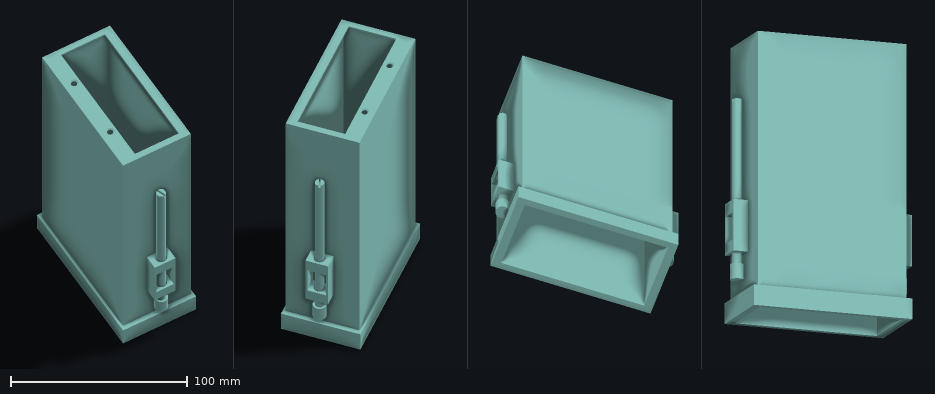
import cadquery as cq

HEIGHT = 160.8
FOOT_LENGTH = 96.0
FOOT_WIDTH = 48.0
FOOT_HEIGHT = 12.0
SLEEVE_LENGTH = 90.0
SLEEVE_WIDTH = 44.7
OPENING_LENGTH = 82.3
WALL = 2.1
TOP_PLATE = 1.1
OPENING_WIDTH = 29.0
OPENING_Y = 2.3

PLATE_HOLE_X = 20.1
PLATE_HOLE_Y = -16.0
PLATE_HOLE_DIAMETER = 3.5
COUNTERSINK_DIAMETER = 5.0
COUNTERSINK_ANGLE = 90.0

OVERALL_LENGTH = 107.9
BRACKET_WIDTH = 13.7
BRACKET_HEIGHT = 30.0
BRACKET_BOTTOM = 35.4
BRACKET_DEPTH = (OVERALL_LENGTH - SLEEVE_LENGTH) / 2
WINDOW_WIDTH = 11.4
WINDOW_HEIGHT = 15.9
WINDOW_SILL = 6.8
BRACKET_HOLE_DIAMETER = 6.6

ROD_X = 49.4
ROD_Y = 0.2
ROD_DIAMETER = 5.5
ROD_TOP = 125.5
KNOB_DIAMETER = 7.9
KNOB_BOTTOM = 20.1
KNOB_HEIGHT = 9.0
SLOT_WIDTH = 1.0
SLOT_DEPTH = 2.0
SLOT_ANGLE = 20.0


def box(length, width, height, x, y, bottom):
    """Box centred on (x, y) and standing on the height `bottom`."""
    return cq.Workplane("XY", origin=(x, y, bottom)).box(length, width, height, centered=(True, True, False))


def cylinder(diameter, height, x, y, bottom):
    """Upright cylinder with its axis at (x, y), standing on the height `bottom`."""
    return cq.Workplane("XY", origin=(x, y, bottom)).circle(diameter / 2).extrude(height)


def make_housing():
    cavity_length = SLEEVE_LENGTH - 2 * WALL
    cavity_width = SLEEVE_WIDTH - 2 * WALL
    body = box(FOOT_LENGTH, FOOT_WIDTH, FOOT_HEIGHT, 0, 0, 0)
    body = body.union(box(SLEEVE_LENGTH, SLEEVE_WIDTH, HEIGHT, 0, 0, 0))
    body = body.cut(box(cavity_length, cavity_width, HEIGHT - TOP_PLATE, 0, 0, 0))
    body = body.cut(box(OPENING_LENGTH, OPENING_WIDTH, HEIGHT, 0, OPENING_Y, 0))
    return (
        body.faces(">Z").workplane(origin=(0, 0, HEIGHT))
        .pushPoints([(-PLATE_HOLE_X, PLATE_HOLE_Y), (PLATE_HOLE_X, PLATE_HOLE_Y)])
        .cskHole(PLATE_HOLE_DIAMETER, COUNTERSINK_DIAMETER, COUNTERSINK_ANGLE, TOP_PLATE)
    )


def make_bracket(side):
    centre_x = side * (SLEEVE_LENGTH + BRACKET_DEPTH) / 2
    window_bottom = BRACKET_BOTTOM + WINDOW_SILL
    block = box(BRACKET_DEPTH, BRACKET_WIDTH, BRACKET_HEIGHT, centre_x, ROD_Y, BRACKET_BOTTOM)
    window = box(BRACKET_DEPTH, WINDOW_WIDTH, WINDOW_HEIGHT, centre_x, ROD_Y, window_bottom)
    rod_hole = cylinder(BRACKET_HOLE_DIAMETER, BRACKET_HEIGHT, side * ROD_X, ROD_Y, BRACKET_BOTTOM)
    return block.cut(window).cut(rod_hole)


def make_rod(side):
    bottom = KNOB_BOTTOM + KNOB_HEIGHT
    rod = cylinder(ROD_DIAMETER, ROD_TOP - bottom, 0, 0, bottom)
    slot = box(2 * ROD_DIAMETER, SLOT_WIDTH, SLOT_DEPTH, 0, 0, ROD_TOP - SLOT_DEPTH)
    return rod.cut(slot).rotate((0, 0, 0), (0, 0, 1), SLOT_ANGLE).translate((side * ROD_X, ROD_Y, 0))


def make_knob(side):
    return cylinder(KNOB_DIAMETER, KNOB_HEIGHT, side * ROD_X, ROD_Y, KNOB_BOTTOM)


housing = make_housing()
bodies = [housing.val()]
for end in (-1, 1):
    bodies += [make_bracket(end).val(), make_rod(end).val(), make_knob(end).val()]

result = cq.Compound.makeCompound(bodies)